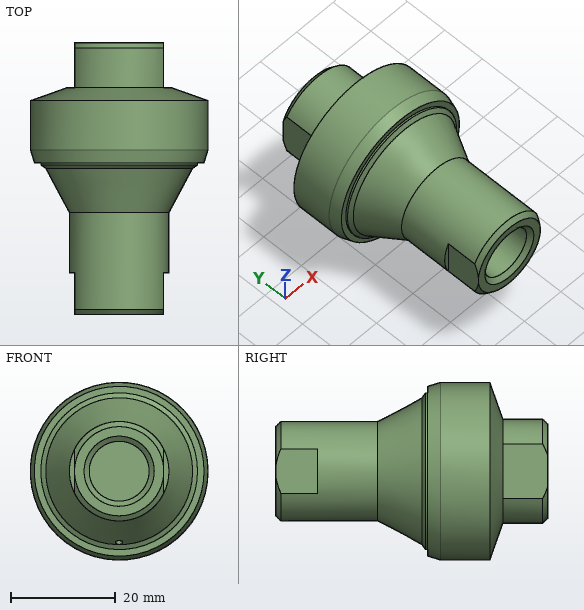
import cadquery as cq

length = 52.0
cone_start = 19.5
cone_end = 28.0
lip_start = 28.6
body_front = 29.0
band_end = 31.5
shoulder_start = 40.9
body_back = 43.4

stem_radius = 9.5
cone_radius = 14.05
lip_radius = 15.0
body_front_radius = 16.2
body_radius = 17.0
boss_radius = 10.0
end_chamfer = 1.0

flat_width = 17.0
front_flat_length = 8.0
rear_flat_length = length - body_back

bore_radius = 5.7
bore_depth = 13.0
bore_chamfer = 1.0

vent_radius = 0.7
vent_y = 27.2
vent_floor_radius = 10.4


def make_body():
    """Revolve the outer outline, given as (radius, y), about the Y axis."""
    outline = [
        (0, 0),
        (stem_radius - end_chamfer, 0),
        (stem_radius, end_chamfer),
        (stem_radius, cone_start),
        (cone_radius, cone_end),
        (lip_radius, lip_start),
        (lip_radius, body_front),
        (body_front_radius, body_front),
        (body_radius, band_end),
        (body_radius, shoulder_start),
        (boss_radius, body_back),
        (boss_radius, length - end_chamfer),
        (boss_radius - end_chamfer, length),
        (0, length),
    ]
    return cq.Workplane("XY").polyline(outline).close().revolve(360, (0, 0), (0, 1))


def make_bore():
    """Flat-bottomed bore with a chamfered mouth."""
    outline = [
        (0, 0),
        (bore_radius + bore_chamfer, 0),
        (bore_radius, bore_chamfer),
        (bore_radius, bore_depth),
        (0, bore_depth),
    ]
    return cq.Workplane("XY").polyline(outline).close().revolve(360, (0, 0), (0, 1))


def make_flat(side, start, flat_length):
    """Block removed outside one wrench flat; side is +1 or -1 along X."""
    depth = body_radius - flat_width / 2
    center_x = side * (flat_width / 2 + depth / 2)
    return (
        cq.Workplane("XY")
        .box(depth, flat_length, 2 * body_radius)
        .translate((center_x, start + flat_length / 2, 0))
    )


def make_vent():
    """Blind hole running up along Z from below the cone."""
    return (
        cq.Workplane("XY", origin=(0, vent_y, -body_radius))
        .circle(vent_radius)
        .extrude(body_radius - vent_floor_radius)
    )


result = make_body().cut(make_bore()).cut(make_vent())
for side in (-1, 1):
    result = result.cut(make_flat(side, 0, front_flat_length))
    result = result.cut(make_flat(side, body_back, rear_flat_length))

result = result.translate((0, -length / 2, 0))